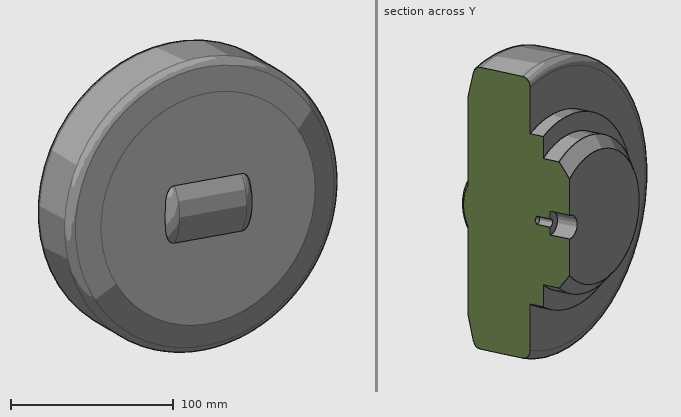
import math

import cadquery as cq

NOSE_CHAMFER_LENGTH = 8.0
NOSE_END = 20.0
HUB_END = 30.0
WHEEL_END = 78.0
OVERALL_LENGTH = 84.5

NOSE_FACE_RADIUS = 42.5
NOSE_RADIUS = 50.0
HUB_RADIUS = 62.0
WHEEL_RADIUS = 95.0
WHEEL_FACE_RADIUS = 75.0
RIM_FILLET = 6.0
WHEEL_CONE_ANGLE = 15.0

KEY_RADIUS = 30.0
KEY_LENGTH = 60.0
KEY_END_FILLET = OVERALL_LENGTH - WHEEL_END

HOLE_OFFSET_Y = 29.0
COUNTERBORE_DIAMETER = 15.0
COUNTERBORE_DEPTH = 15.0
HOLE_DIAMETER = 5.0
HOLE_DEPTH = 10.0
DRILL_POINT_ANGLE = 118.0


def make_hub():
    """Chamfered nose and the larger hub behind it, revolved about X."""
    return (
        cq.Workplane("XY")
        .moveTo(0, 0)
        .lineTo(0, NOSE_FACE_RADIUS)
        .lineTo(NOSE_CHAMFER_LENGTH, NOSE_RADIUS)
        .lineTo(NOSE_END, NOSE_RADIUS)
        .lineTo(NOSE_END, HUB_RADIUS)
        .lineTo(HUB_END, HUB_RADIUS)
        .lineTo(HUB_END, 0)
        .close()
        .revolve(360, (0, 0, 0), (1, 0, 0))
    )


def make_wheel():
    """Wheel disc with a shallow cone on its outer face and both rim edges rounded."""
    cone_drop = WHEEL_RADIUS - WHEEL_FACE_RADIUS
    cone_start = WHEEL_END - cone_drop * math.tan(math.radians(WHEEL_CONE_ANGLE))
    blank = (
        cq.Workplane("XY")
        .moveTo(HUB_END, 0)
        .lineTo(HUB_END, WHEEL_RADIUS)
        .lineTo(cone_start, WHEEL_RADIUS)
        .lineTo(WHEEL_END, WHEEL_FACE_RADIUS)
        .lineTo(WHEEL_END, 0)
        .close()
        .revolve(360, (0, 0, 0), (1, 0, 0))
    )
    rim_edges = cq.selectors.RadiusNthSelector(-1)
    return blank.edges(rim_edges).fillet(RIM_FILLET)


def make_key():
    """Cylinder with rounded ends, mostly sunk in the wheel so only a cap stands out."""
    return (
        cq.Workplane("XZ")
        .center(OVERALL_LENGTH - KEY_RADIUS, 0)
        .circle(KEY_RADIUS)
        .extrude(KEY_LENGTH / 2, both=True)
        .edges("%CIRCLE")
        .fillet(KEY_END_FILLET)
    )


def make_hole():
    """Counterbore followed by a drilled hole that ends in a conical point."""
    hole_radius = HOLE_DIAMETER / 2
    hole_end = COUNTERBORE_DEPTH + HOLE_DEPTH
    point_length = hole_radius / math.tan(math.radians(DRILL_POINT_ANGLE / 2))
    counterbore_edge = HOLE_OFFSET_Y + COUNTERBORE_DIAMETER / 2
    hole_edge = HOLE_OFFSET_Y + hole_radius
    return (
        cq.Workplane("XY")
        .moveTo(0, HOLE_OFFSET_Y)
        .lineTo(0, counterbore_edge)
        .lineTo(COUNTERBORE_DEPTH, counterbore_edge)
        .lineTo(COUNTERBORE_DEPTH, hole_edge)
        .lineTo(hole_end, hole_edge)
        .lineTo(hole_end + point_length, HOLE_OFFSET_Y)
        .close()
        .revolve(360, (0, HOLE_OFFSET_Y, 0), (1, HOLE_OFFSET_Y, 0))
    )


body = make_hub().union(make_wheel()).union(make_key())
solid = body.cut(make_hole())

result = solid.translate((-OVERALL_LENGTH / 2, 0, 0))